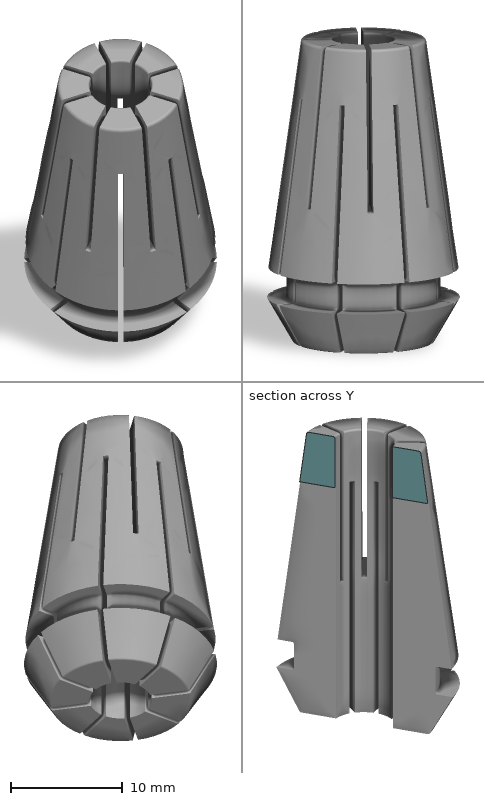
import cadquery as cq
import math


TOTAL_LENGTH = 27.5
GROOVE_BOTTOM = 4.0
GROOVE_TOP = 6.7

FLANGE_RADIUS = 8.625
GROOVE_RADIUS = 6.9
TAPER_BASE_RADIUS = 8.5
BORE_RADIUS = 5.56 / 2
NOSE_ANGLE = 30.0
TAPER_ANGLE = 8.0

TOP_EDGE_FILLET = 0.3
NOSE_EDGE_FILLET = 0.2
GROOVE_ROOT_FILLET = 0.2
BORE_MOUTH_FILLET = 0.2

SLOT_WIDTH = 0.5
SLOT_COUNT = 8
NOSE_SLOT_TOP = 22.5
TOP_SLOT_BOTTOM = 13.0

NOSE_RADIUS = FLANGE_RADIUS - GROOVE_BOTTOM * math.tan(math.radians(NOSE_ANGLE))
TAPER_LENGTH = TOTAL_LENGTH - GROOVE_TOP
TAPER_TOP_RADIUS = TAPER_BASE_RADIUS - TAPER_LENGTH * math.tan(math.radians(TAPER_ANGLE))
SLOT_PITCH = 360.0 / SLOT_COUNT

BLADE_OVERSHOOT = 0.5
SELECTION_MARGIN = 0.05


def circle_edges_at(radius, height):
    """Selector for the circular edge of the given radius lying at the given height."""
    outer = radius + SELECTION_MARGIN
    inner = radius - SELECTION_MARGIN
    low = height - SELECTION_MARGIN
    high = height + SELECTION_MARGIN
    within_outer = cq.selectors.BoxSelector((-outer, -outer, low), (outer, outer, high), boundingbox=True)
    within_inner = cq.selectors.BoxSelector((-inner, -inner, low), (inner, inner, high), boundingbox=True)
    return within_outer - within_inner


def collet_body():
    """Revolve the solid outline: nose cone, extraction groove and clamping taper."""
    body = (
        cq.Workplane("XZ")
        .moveTo(0, 0)
        .lineTo(NOSE_RADIUS, 0)
        .lineTo(FLANGE_RADIUS, GROOVE_BOTTOM)
        .lineTo(GROOVE_RADIUS, GROOVE_BOTTOM)
        .lineTo(GROOVE_RADIUS, GROOVE_TOP)
        .lineTo(TAPER_BASE_RADIUS, GROOVE_TOP)
        .lineTo(TAPER_TOP_RADIUS, TOTAL_LENGTH)
        .lineTo(0, TOTAL_LENGTH)
        .close()
        .revolve(360, (0, 0, 0), (0, 1, 0))
    )
    body = body.edges(circle_edges_at(TAPER_TOP_RADIUS, TOTAL_LENGTH)).fillet(TOP_EDGE_FILLET)
    body = body.edges(circle_edges_at(NOSE_RADIUS, 0)).fillet(NOSE_EDGE_FILLET)
    for height in (GROOVE_BOTTOM, GROOVE_TOP):
        body = body.edges(circle_edges_at(GROOVE_RADIUS, height)).fillet(GROOVE_ROOT_FILLET)
    return body


def cut_bore(body):
    """Cut the through bore and round its mouth at the clamping end."""
    bore = cq.Workplane("XY").circle(BORE_RADIUS).extrude(TOTAL_LENGTH)
    mouth = circle_edges_at(BORE_RADIUS, TOTAL_LENGTH)
    return body.cut(bore).edges(mouth).fillet(BORE_MOUTH_FILLET)


def slots(bottom, top, first_angle):
    """Ring of radial slots running from the axis past the outside, between two heights."""
    blade = (
        cq.Workplane("XY", origin=(0, 0, bottom))
        .rect(2 * (FLANGE_RADIUS + BLADE_OVERSHOOT), SLOT_WIDTH)
        .extrude(top - bottom)
    )
    ring = cq.Workplane("XY")
    for index in range(SLOT_COUNT // 2):
        angle = first_angle + index * SLOT_PITCH
        ring = ring.union(blade.rotate((0, 0, 0), (0, 0, 1), angle))
    return ring


nose_slots = slots(0, NOSE_SLOT_TOP, 0)
top_slots = slots(TOP_SLOT_BOTTOM, TOTAL_LENGTH, SLOT_PITCH / 2)

result = cut_bore(collet_body()).cut(nose_slots).cut(top_slots)